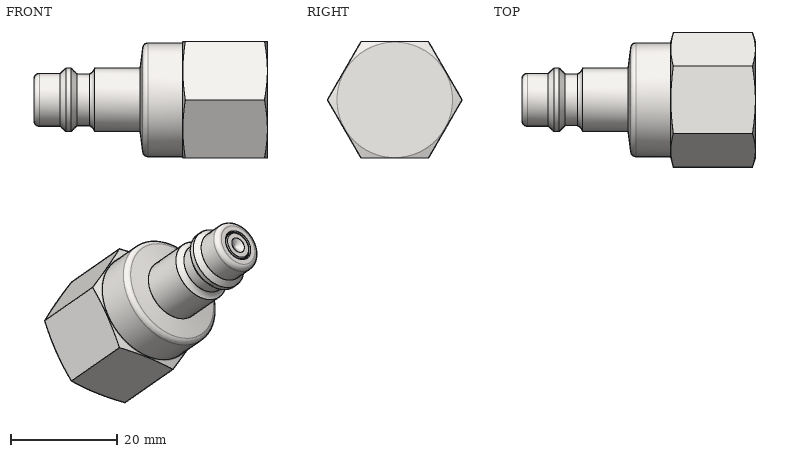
import cadquery as cq
import math

length = 44.0
tip_end = 4.95
ridge_start = 6.05
ridge_end = 7.0
neck_start = 8.15
neck_end = 10.45
shank_start = 11.45
collar_start = 19.98
collar_rim = 20.6
hex_start = 28.05

tip_diameter = 10.0
tip_fillet = 1.0
shank_diameter = 12.0
neck_diameter = 9.75
neck_arc_sag = 0.18
collar_diameter = 21.5
collar_fillet = 1.05
hex_flats = 22.0
hex_corners = hex_flats / math.cos(math.pi / 6)
chamfer_end_diameter = 21.8
chamfer_front = 0.5
chamfer_back = 0.55

groove_mouth_diameter = 6.0
groove_outer_diameter = 5.6
pin_diameter = 5.45
pin_face_diameter = 5.0
groove_depth = 0.6
dimple_diameter = 3.0
dimple_depth = 0.9


def turned_body():
    """Plug, locking ridge, neck, shank and collar, revolved about X."""
    tip_radius = tip_diameter / 2
    shank_radius = shank_diameter / 2
    neck_radius = neck_diameter / 2
    collar_radius = collar_diameter / 2
    shoulder_middle = (
        (neck_end + shank_start) / 2 + neck_arc_sag * math.sin(math.pi / 4),
        (neck_radius + shank_radius) / 2 - neck_arc_sag * math.cos(math.pi / 4),
    )
    profile = (
        cq.Workplane("XY")
        .lineTo(0, tip_radius)
        .lineTo(tip_end, tip_radius)
        .lineTo(ridge_start, shank_radius)
        .lineTo(ridge_end, shank_radius)
        .lineTo(neck_start, neck_radius)
        .lineTo(neck_end, neck_radius)
        .threePointArc(shoulder_middle, (shank_start, shank_radius))
        .lineTo(collar_start, shank_radius)
        .lineTo(collar_rim, collar_radius)
        .lineTo(hex_start, collar_radius)
        .lineTo(hex_start, 0)
        .close()
    )
    body = profile.revolve(360, (0, 0, 0), (1, 0, 0))
    body = body.faces("<X").edges().fillet(tip_fillet)
    rim = cq.selectors.NearestToPointSelector((collar_rim, -collar_radius, 0))
    rim_edge = body.edges("%CIRCLE").edges(rim)
    return rim_edge.fillet(collar_fillet)


def hexagon():
    """Hexagon with flats facing +Z and -Z, its corners turned off at both ends."""
    prism = (
        cq.Workplane("YZ", origin=(hex_start, 0, 0))
        .polygon(6, hex_corners)
        .extrude(length - hex_start)
    )
    end_radius = chamfer_end_diameter / 2
    corner_radius = hex_corners / 2
    envelope = (
        cq.Workplane("XY")
        .moveTo(hex_start, 0)
        .lineTo(hex_start, end_radius)
        .lineTo(hex_start + chamfer_front, corner_radius)
        .lineTo(length - chamfer_back, corner_radius)
        .lineTo(length, end_radius)
        .lineTo(length, 0)
        .close()
        .revolve(360, (0, 0, 0), (1, 0, 0))
    )
    return prism.intersect(envelope)


def valve_groove():
    """Ring groove around the valve pin, with 45 degree chamfers on both of its rims."""
    mouth_chamfer = (groove_mouth_diameter - groove_outer_diameter) / 2
    pin_chamfer = (pin_diameter - pin_face_diameter) / 2
    return (
        cq.Workplane("XY")
        .moveTo(0, pin_face_diameter / 2)
        .lineTo(pin_chamfer, pin_diameter / 2)
        .lineTo(groove_depth, pin_diameter / 2)
        .lineTo(groove_depth, groove_outer_diameter / 2)
        .lineTo(mouth_chamfer, groove_outer_diameter / 2)
        .lineTo(0, groove_mouth_diameter / 2)
        .close()
        .revolve(360, (0, 0, 0), (1, 0, 0))
    )


def valve_dimple():
    """Conical dimple in the middle of the valve pin."""
    cone = cq.Solid.makeCone(
        dimple_diameter / 2, 0, dimple_depth, pnt=cq.Vector(0, 0, 0), dir=cq.Vector(1, 0, 0)
    )
    return cq.Workplane(cone)


result = turned_body().union(hexagon()).cut(valve_groove()).cut(valve_dimple())